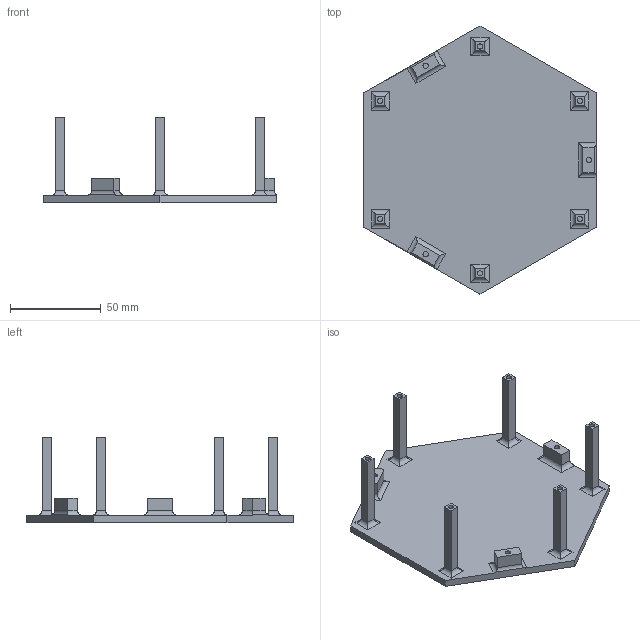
import cadquery as cq
import math

SIDE_COUNT = 6
CORNER_RADIUS = 147.65 / 2
PLATE_THICKNESS = 4.0
EDGE_DISTANCE = CORNER_RADIUS * math.cos(math.pi / SIDE_COUNT)

TOTAL_HEIGHT = 47.0
POST_WIDTH = 5.0
AXIS_POST_Y = 62.5
SIDE_POST_X = 55.0
SIDE_POST_Y = 32.5

BLOCK_LENGTH = 14.0
BLOCK_WIDTH = 6.3
BLOCK_HEIGHT = 9.5
BLOCK_EDGE_GAP = 1.0
BLOCK_HOLE_EDGE_DISTANCE = 4.0
BLOCK_ANGLES = (0, 120, 240)

FOOT_RADIUS = 2.5
HOLE_DIAMETER = 2.9


def make_hexagon(height):
    """Solid hexagonal prism standing on Z = 0."""
    corners = []
    for index in range(SIDE_COUNT):
        angle = math.pi / 2 + index * 2 * math.pi / SIDE_COUNT
        corners.append((CORNER_RADIUS * math.cos(angle), CORNER_RADIUS * math.sin(angle)))
    return cq.Workplane("XY").polyline(corners).close().extrude(height)


def flared_slab(plane, width, height, depth):
    """Upright slab of the given width whose two sides flare out in concave arcs at the bottom."""
    half = width / 2
    foot = half + FOOT_RADIUS
    sag = FOOT_RADIUS * (1 - math.sqrt(0.5))
    return (
        cq.Workplane(plane)
        .moveTo(-foot, 0)
        .lineTo(foot, 0)
        .threePointArc((half + sag, sag), (half, FOOT_RADIUS))
        .lineTo(half, height)
        .lineTo(-half, height)
        .lineTo(-half, FOOT_RADIUS)
        .threePointArc((-half - sag, sag), (-foot, 0))
        .close()
        .extrude(depth / 2, both=True)
    )


def make_pillar(size_x, size_y, height):
    """Rectangular pillar on the plate top, with mitred concave feet on all four sides."""
    depth = 2 * (max(size_x, size_y) + 2 * FOOT_RADIUS)
    across_x = flared_slab("XZ", size_x, height, depth)
    across_y = flared_slab("YZ", size_y, height, depth)
    return across_x.intersect(across_y).translate((0, 0, PLATE_THICKNESS))


def make_hole(height):
    """Axial hole running from the pillar top down to the plate."""
    return cq.Workplane("XY").workplane(offset=PLATE_THICKNESS).circle(HOLE_DIAMETER / 2).extrude(height)


def post_positions():
    """Two posts on the Y axis and four beside it, mirrored across X and Y."""
    positions = []
    for side_y in (-1, 1):
        positions.append((0, side_y * AXIS_POST_Y, 0))
        for side_x in (-1, 1):
            positions.append((side_x * SIDE_POST_X, side_y * SIDE_POST_Y, 0))
    return positions


post_height = TOTAL_HEIGHT - PLATE_THICKNESS
block_distance = EDGE_DISTANCE - BLOCK_EDGE_GAP - BLOCK_WIDTH / 2
block_hole_distance = EDGE_DISTANCE - BLOCK_HOLE_EDGE_DISTANCE

post = make_pillar(POST_WIDTH, POST_WIDTH, post_height)
post_hole = make_hole(post_height)
block = make_pillar(BLOCK_WIDTH, BLOCK_LENGTH, BLOCK_HEIGHT).translate((block_distance, 0, 0))
block_hole = make_hole(BLOCK_HEIGHT).translate((block_hole_distance, 0, 0))

result = make_hexagon(PLATE_THICKNESS)

for position in post_positions():
    result = result.union(post.translate(position)).cut(post_hole.translate(position))

for angle in BLOCK_ANGLES:
    turned_block = block.rotate((0, 0, 0), (0, 0, 1), angle)
    turned_hole = block_hole.rotate((0, 0, 0), (0, 0, 1), angle)
    result = result.union(turned_block).cut(turned_hole)

result = result.intersect(make_hexagon(TOTAL_HEIGHT))